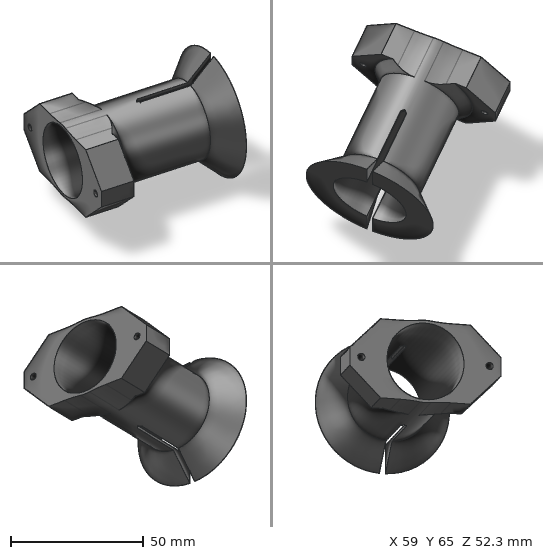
import cadquery as cq
import math

length = 65.0
tube_radius = 16.2
bore_diameter = 30.0

flare_radius = 26.2
flare_start = length - (flare_radius - tube_radius)

flange_thickness = 14.1
flange_half_width = 29.5
flange_half_height = 15.55
flange_end_half_height = 3.6
flange_corner_x = flange_half_width - (flange_half_height - flange_end_half_height)
blend_radius = 60.0

collar_height = 3.9
collar_end = flange_thickness + collar_height
collar_base_radius = tube_radius + collar_height

screw_hole_diameter = 2.7
screw_hole_x = 25.0

slot_width = 2.35
slot_tip_y = 32.0


def flange_prism(depth):
    """Eight-sided outline whose long edges blend up to the tube, extruded along +Y.

    The short chord at the middle of each long edge lies inside the tube wall.
    """
    blend_centre_z = flange_half_height + blend_radius
    centre_distance = tube_radius + blend_radius
    blend_start_x = math.sqrt(centre_distance**2 - blend_centre_z**2)
    tube_angle = math.asin(blend_start_x / centre_distance)
    tangent_x = tube_radius * math.sin(tube_angle)
    tangent_z = tube_radius * math.cos(tube_angle)
    middle_x = blend_start_x - blend_radius * math.sin(tube_angle / 2)
    middle_z = blend_centre_z - blend_radius * math.cos(tube_angle / 2)

    outline = cq.Workplane("XZ").moveTo(-flange_half_width, flange_end_half_height)
    for side in (1, -1):
        outline = (
            outline.lineTo(-side * flange_corner_x, side * flange_half_height)
            .lineTo(-side * blend_start_x, side * flange_half_height)
            .threePointArc((-side * middle_x, side * middle_z), (-side * tangent_x, side * tangent_z))
            .lineTo(side * tangent_x, side * tangent_z)
            .threePointArc(
                (side * middle_x, side * middle_z),
                (side * blend_start_x, side * flange_half_height),
            )
            .lineTo(side * flange_corner_x, side * flange_half_height)
            .lineTo(side * flange_half_width, side * flange_end_half_height)
        )
        if side == 1:
            outline = outline.lineTo(flange_half_width, -flange_end_half_height)
    return outline.close().extrude(-depth)


def revolved(profile):
    """Solid of revolution about Y from (radius, y) points."""
    return cq.Workplane("XY").polyline(profile).close().revolve(360, (0, 0, 0), (0, 1, 0))


def cylinder_along_y(x, diameter, depth):
    return cq.Workplane("XZ").center(x, 0).circle(diameter / 2).extrude(-depth)


def slot_cutter():
    half_width = slot_width / 2
    shoulder_y = slot_tip_y + half_width
    return (
        cq.Workplane("XY")
        .polyline(
            [
                (0, slot_tip_y),
                (half_width, shoulder_y),
                (half_width, length),
                (-half_width, length),
                (-half_width, shoulder_y),
            ]
        )
        .close()
        .extrude(flare_radius, both=True)
    )


flared_tube = revolved(
    [(0, 0), (tube_radius, 0), (tube_radius, flare_start), (flare_radius, length), (0, length)]
)
collar_cone = revolved(
    [
        (0, 0),
        (collar_base_radius, 0),
        (collar_base_radius, flange_thickness),
        (tube_radius, collar_end),
        (0, collar_end),
    ]
)
collar = flange_prism(collar_end).intersect(collar_cone)

flange = flange_prism(flange_thickness)
for hole_x in (-screw_hole_x, screw_hole_x):
    flange = flange.cut(cylinder_along_y(hole_x, screw_hole_diameter, flange_thickness))

result = flared_tube.union(flange).union(collar)
result = result.cut(cylinder_along_y(0, bore_diameter, length)).cut(slot_cutter())